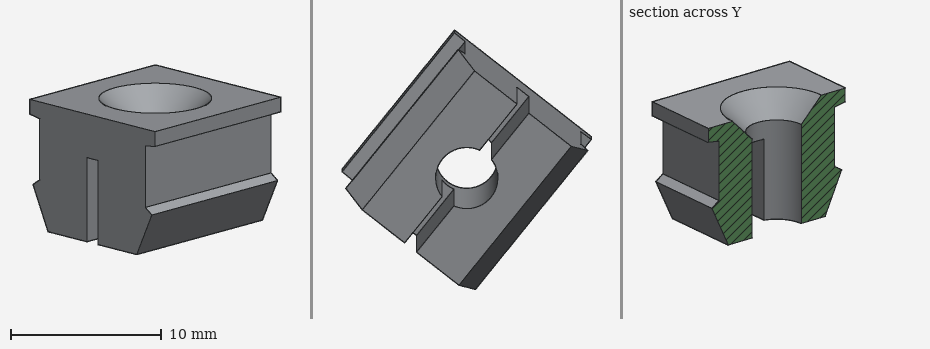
import cadquery as cq

length_y = 12.0
height = 8.8

flange_half_width = 5.8
neck_half_width = 4.9
barb_half_width = 5.5
foot_half_width = 4.1

flange_edge_depth = 1.02
neck_top_depth = 1.16
neck_bottom_depth = 5.39
barb_tip_depth = 5.8

slot_width = 1.0
slot_top_depth = 3.0

hole_diameter = 4.13
countersink_diameter = 7.5
countersink_angle = 90.0

top_z = height / 2


def clip_body():
    """Barbed clip profile, symmetric about the YZ plane, extruded along Y."""
    right_side = [
        (flange_half_width, top_z),
        (flange_half_width, top_z - flange_edge_depth),
        (neck_half_width, top_z - neck_top_depth),
        (neck_half_width, top_z - neck_bottom_depth),
        (barb_half_width, top_z - barb_tip_depth),
        (foot_half_width, top_z - height),
    ]
    left_side = [(-x, z) for x, z in reversed(right_side)]
    profile = cq.Workplane("XZ").polyline(right_side + left_side).close()
    return profile.extrude(length_y / 2, both=True)


def leg_slot():
    """Slot open at the bottom, running the full length along Y."""
    slot_height = height - slot_top_depth
    slot = cq.Workplane("XY").box(slot_width, length_y, slot_height)
    return slot.translate((0, 0, -top_z + slot_height / 2))


def add_screw_hole(body):
    """Through hole on the Z axis, countersunk from the top face."""
    top_face = body.faces(">Z").workplane(origin=(0, 0, top_z))
    return top_face.cskHole(hole_diameter, countersink_diameter, countersink_angle)


result = add_screw_hole(clip_body().cut(leg_slot()))